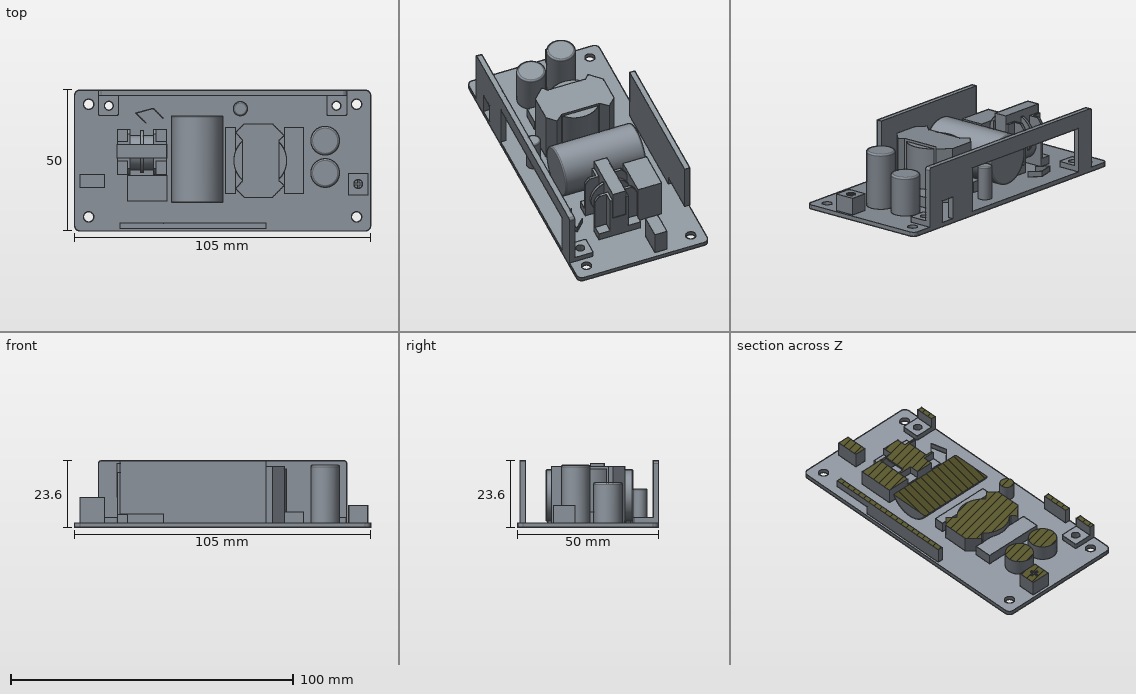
import cadquery as cq
BOARD_LENGTH = 105.0
BOARD_WIDTH = 50.0
BOARD_THICKNESS = 1.6
BOARD_CORNER_RADIUS = 2.0
BOARD_HOLE_DIAMETER = 3.6
BOARD_HOLE_INSET = 5.0
OVERALL_HEIGHT = 23.6
BACK_Y = BOARD_WIDTH / 2
DECK = BOARD_THICKNESS

SHEET = 2.0
BRACKET_HALF_LENGTH = 44.0
BRACKET_CORNER_RADIUS = 0.9
TAB_WIDTH = 7.0
TAB_DEPTH = 9.0
TAB_CORNER_RADIUS = 0.5
TAB_HOLE_DIAMETER = 3.0
TAB_HOLE_X = 40.3
TAB_HOLE_Y = 19.4
TALL_WINDOW_END_X = 20.7
TALL_WINDOW_TOP = 17.8
LOW_WINDOW_START_X = 31.5
LOW_WINDOW_TOP = 9.7

SINK_X = (-36.3, 15.4)
SINK_FRONT_Y = -24.2
SINK_NOTCH_END_X = -21.0
SINK_NOTCH_TOP = 4.7

INPUT_X = (-50.6, -41.8)
INPUT_Y = (-9.6, -4.9)
INPUT_TOP = 10.6
BOX_X = (-33.7, -19.6)
BOX_Y = (-14.4, -5.4)
BOX_TOP = 17.2
TERMINAL_X = (44.6, 51.5)
TERMINAL_Y = (-12.2, -4.6)
TERMINAL_TOP = 7.8
SCREW_Y = -8.3
SCREW_DIAMETER = 3.2
SCREW_RECESS = 0.3
SCREW_SLOT_WIDTH = 0.6
SCREW_SLOT_DEPTH = 0.6

CLIP_OUTLINE = [(-27.2, 13.3), (-30.8, 16.8), (-24.6, 18.5), (-21.1, 15.0)]
CLIP_THICKNESS = 0.1
CLIP_TOP = 3.6

CAN_DIAMETER = 10.2
CAN_X = 36.3
CAN_EDGE_RADIUS = 0.6
BACK_CAN_Y = 7.0
BACK_CAN_TOP = 15.9
FRONT_CAN_Y = -4.4
FRONT_CAN_TOP = 22.0
SMALL_CAN_DIAMETER = 5.0
SMALL_CAN_X = 6.3
SMALL_CAN_Y = 18.4
SMALL_CAN_TOP = 13.6
SMALL_CAN_EDGE_RADIUS = 0.4

CHOKE_X = (-37.3, -20.0)
CHOKE_Y = (-4.9, 11.0)
CHOKE_BASE_TOP = 4.5
CHOKE_END = 3.6
POST_Y = (-0.2, 6.7)
POST_TOP = 19.5
STRAP_OVERHANG = 0.2
STRAP_Y = (0.8, 5.8)
STRAP_Z = (10.7, 22.7)
FLANGE_THICKNESS = 0.9
FLANGE_RADIUS = 8.7
DISC_THICKNESS = 1.0
DISC_RADIUS = 7.5
DISC_Z = 13.3
WINDING_RADIUS = 6.1
WINDING_Y = 2.7
WINDING_Z = 9.5

BOBBIN_X = (1.0, 28.7)
BOBBIN_WIDTH = 23.3
BOBBIN_TOP = 5.5
CORE_X = (4.6, 21.8)
CORE_WIDTH = 26.0
CORE_TOP = 21.6
LEFT_CHAMFER = 3.0
RIGHT_CHAMFER = 4.2
NOTCH_FLOOR_X = (7.0, 20.1)
NOTCH_HALF_WIDTH = 7.2
COIL_X = 13.3
COIL_RADIUS = 9.3
COIL_TOP = 20.7

DRUM_DIAMETER = 18.3
DRUM_X = -9.0
DRUM_Y = (-14.9, 15.9)
DRUM_Z = 11.3
DRUM_EDGE_RADIUS = 0.4


def block(x_range, y_range, z_range):
    """Box between the given limits along each axis."""
    size = [high - low for low, high in (x_range, y_range, z_range)]
    return cq.Workplane("XY").box(*size, centered=False).translate((x_range[0], y_range[0], z_range[0]))


def rod_along_x(x_range, y, z, radius):
    """Cylinder whose axis is parallel to X."""
    rod = cq.Workplane("YZ", origin=(x_range[0], y, z)).circle(radius)
    return rod.extrude(x_range[1] - x_range[0])


def middle(limits):
    return sum(limits) / 2


def make_board():
    board = block((-BOARD_LENGTH / 2, BOARD_LENGTH / 2), (-BACK_Y, BACK_Y), (0, DECK))
    board = board.edges("|Z").fillet(BOARD_CORNER_RADIUS)
    hole_spacing = (BOARD_LENGTH - 2 * BOARD_HOLE_INSET, BOARD_WIDTH - 2 * BOARD_HOLE_INSET)
    holes = cq.Workplane("XY").rect(*hole_spacing, forConstruction=True).vertices()
    return board.cut(holes.circle(BOARD_HOLE_DIAMETER / 2).extrude(DECK))


def make_bracket():
    inner_x = BRACKET_HALF_LENGTH - TAB_WIDTH
    sheet_y = (BACK_Y - SHEET, BACK_Y)
    wall = block((-BRACKET_HALF_LENGTH, BRACKET_HALF_LENGTH), sheet_y, (DECK, OVERALL_HEIGHT))
    wall = wall.edges("|Y and >Z").fillet(BRACKET_CORNER_RADIUS)
    wall = wall.cut(block((-inner_x, TALL_WINDOW_END_X), sheet_y, (DECK, TALL_WINDOW_TOP)))
    bracket = wall.cut(block((LOW_WINDOW_START_X, inner_x), sheet_y, (DECK, LOW_WINDOW_TOP)))
    for x_range in ((-BRACKET_HALF_LENGTH, -inner_x), (inner_x, BRACKET_HALF_LENGTH)):
        tab = block(x_range, (BACK_Y - TAB_DEPTH, BACK_Y), (DECK, DECK + SHEET))
        bracket = bracket.union(tab.edges("|Z and <Y").fillet(TAB_CORNER_RADIUS))
    return bracket


def make_tab_holes():
    centres = [(-TAB_HOLE_X, TAB_HOLE_Y), (TAB_HOLE_X, TAB_HOLE_Y)]
    holes = cq.Workplane("XY").pushPoints(centres).circle(TAB_HOLE_DIAMETER / 2)
    return holes.extrude(DECK + SHEET)


def make_heat_sink():
    sheet_y = (SINK_FRONT_Y, SINK_FRONT_Y + SHEET)
    plate = block(SINK_X, sheet_y, (DECK, OVERALL_HEIGHT))
    return plate.cut(block((SINK_X[0], SINK_NOTCH_END_X), sheet_y, (DECK, SINK_NOTCH_TOP)))


def make_terminal():
    """Terminal block with a sunken round screw head and its cross slot."""
    terminal = block(TERMINAL_X, TERMINAL_Y, (DECK, TERMINAL_TOP))
    top = cq.Workplane("XY", origin=(middle(TERMINAL_X), SCREW_Y, TERMINAL_TOP))
    terminal = terminal.cut(top.circle(SCREW_DIAMETER / 2).extrude(-SCREW_RECESS))
    head = top.circle(SCREW_DIAMETER / 2).extrude(-SCREW_RECESS - SCREW_SLOT_DEPTH)
    slots = top.rect(SCREW_DIAMETER, SCREW_SLOT_WIDTH).extrude(-SCREW_RECESS - SCREW_SLOT_DEPTH)
    slots = slots.union(slots.rotate(*[(middle(TERMINAL_X), SCREW_Y, z) for z in (0, 1)], 90))
    return terminal.cut(slots.intersect(head))


def make_clip():
    strip = cq.Workplane("XY", origin=(0, 0, DECK)).polyline(CLIP_OUTLINE)
    return strip.offset2D(CLIP_THICKNESS / 2).extrude(CLIP_TOP - DECK)


def make_can(x, y, diameter, top, edge_radius):
    """Upright capacitor standing on the board, with a rounded top edge."""
    can = cq.Workplane("XY", origin=(x, y, DECK)).circle(diameter / 2).extrude(top - DECK)
    return can.faces(">Z").edges().fillet(edge_radius)


def make_choke():
    choke = block(CHOKE_X, CHOKE_Y, (DECK, CHOKE_BASE_TOP))
    inner_x = (CHOKE_X[0] + CHOKE_END, CHOKE_X[1] - CHOKE_END)
    choke = choke.cut(block(inner_x, CHOKE_Y, (DECK, CHOKE_BASE_TOP)))
    posts = block(CHOKE_X, POST_Y, (DECK, POST_TOP)).cut(block(inner_x, POST_Y, (DECK, POST_TOP)))
    strap_x = (CHOKE_X[0] - STRAP_OVERHANG, CHOKE_X[1] + STRAP_OVERHANG)
    choke = choke.union(posts).union(block(strap_x, STRAP_Y, STRAP_Z))
    axis_y = middle(POST_Y)
    for low_x in (inner_x[0], inner_x[1] - FLANGE_THICKNESS):
        flange_x = (low_x, low_x + FLANGE_THICKNESS)
        flange = block(flange_x, CHOKE_Y, (DECK, DISC_Z)).union(
            rod_along_x(flange_x, axis_y, DISC_Z, FLANGE_RADIUS)
        )
        choke = choke.union(flange.intersect(block(flange_x, CHOKE_Y, (DECK, POST_TOP))))
    choke = choke.union(rod_along_x(inner_x, WINDING_Y, WINDING_Z, WINDING_RADIUS))
    disc_start = middle(inner_x) - DISC_THICKNESS / 2
    disc_x = (disc_start, disc_start + DISC_THICKNESS)
    return choke.union(rod_along_x(disc_x, axis_y, DISC_Z, DISC_RADIUS))


def make_transformer():
    """Notched eight-sided core around a round coil, between two low bobbin rails."""
    bobbin_y = (-BOBBIN_WIDTH / 2, BOBBIN_WIDTH / 2)
    left_rail = block((BOBBIN_X[0], CORE_X[0]), bobbin_y, (DECK, BOBBIN_TOP))
    right_rail = block((CORE_X[1], BOBBIN_X[1]), bobbin_y, (DECK, BOBBIN_TOP))
    half = CORE_WIDTH / 2
    left_y = half - LEFT_CHAMFER
    right_y = half - RIGHT_CHAMFER
    back_half = [
        (NOTCH_FLOOR_X[0], NOTCH_HALF_WIDTH),
        (CORE_X[0], left_y),
        (CORE_X[0] + LEFT_CHAMFER, half),
        (CORE_X[1] - RIGHT_CHAMFER, half),
        (CORE_X[1], right_y),
        (NOTCH_FLOOR_X[1], NOTCH_HALF_WIDTH),
    ]
    front_half = [(x, -y) for x, y in reversed(back_half)]
    deck = cq.Workplane("XY", origin=(0, 0, DECK))
    core = deck.polyline(back_half + front_half).close().extrude(CORE_TOP - DECK)
    coil = deck.center(COIL_X, 0).circle(COIL_RADIUS).extrude(COIL_TOP - DECK)
    return core.union(coil).union(left_rail).union(right_rail)


def make_drum():
    """Large capacitor lying parallel to Y, clear of the board."""
    face = cq.Workplane("XZ", origin=(DRUM_X, DRUM_Y[1], DRUM_Z))
    drum = face.circle(DRUM_DIAMETER / 2).extrude(DRUM_Y[1] - DRUM_Y[0])
    return drum.faces("<Y or >Y").edges().fillet(DRUM_EDGE_RADIUS)


def make_board_assembly():
    """Board joined to every part that stands on it."""
    parts = [
        make_bracket(),
        make_heat_sink(),
        block(INPUT_X, INPUT_Y, (DECK, INPUT_TOP)),
        block(BOX_X, BOX_Y, (DECK, BOX_TOP)),
        make_terminal(),
        make_clip(),
        make_can(CAN_X, BACK_CAN_Y, CAN_DIAMETER, BACK_CAN_TOP, CAN_EDGE_RADIUS),
        make_can(CAN_X, FRONT_CAN_Y, CAN_DIAMETER, FRONT_CAN_TOP, CAN_EDGE_RADIUS),
        make_can(SMALL_CAN_X, SMALL_CAN_Y, SMALL_CAN_DIAMETER, SMALL_CAN_TOP, SMALL_CAN_EDGE_RADIUS),
        make_choke(),
        make_transformer(),
    ]
    assembly = make_board()
    for part in parts:
        assembly = assembly.union(part)
    return assembly.cut(make_tab_holes())


board_assembly = make_board_assembly()
drum_capacitor = make_drum()

result = cq.Compound.makeCompound([board_assembly.val(), drum_capacitor.val()])